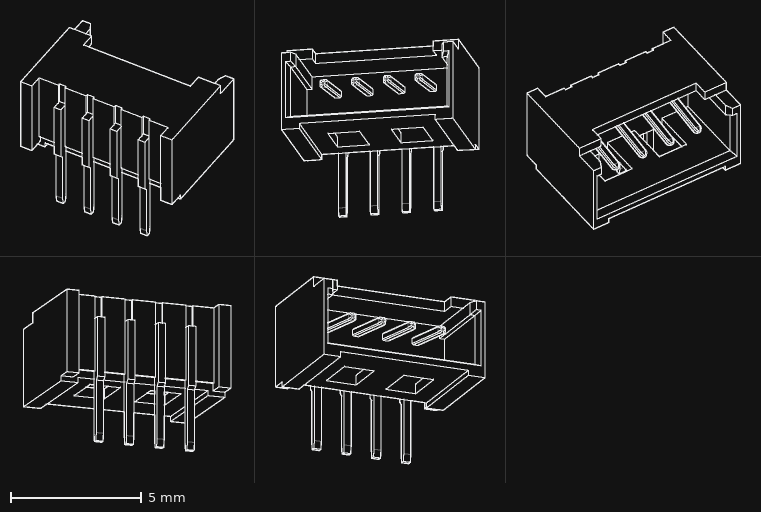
import cadquery as cq
import math


width = 6.75
depth = 4.7
height = 3.495
foot_height = 0.2
foot_width = 0.7
base_z = foot_height

side_wall = 0.5
top_wall = 0.4
floor_wall = 0.4
rear_wall = 0.8
floor_z = base_z + floor_wall
ceiling_z = height - top_wall

rear_recess = 0.555
rear_step_recess = 0.65
rear_step_height = 0.305
cavity_back = rear_step_recess + rear_wall
inner_width = width - 2 * side_wall

mouth_setback = 1.0
mouth_drop = 0.4
notch_width = 4.76
notch_depth = 1.605
lead_in_length = 0.3
lead_in_depth = 0.135
keyway_depth = 0.2
keyway_top = height - 0.9

pin_count = 4
pitch = 1.25
pin_width = 0.3
pin_bottom = -2.3
pin_top = height - 0.9
pin_back = rear_step_recess
upper_leg_front = 0.25
lower_leg_front = 0.38
shoulder_top = base_z + 0.02
leg_tip_length = 0.305
leg_tip_inset = 0.05
arm_width = pin_width
arm_end = depth - 0.59
arm_slope = 8.0
arm_edge_chamfer = 0.05
arm_corner_width = (arm_width - arm_edge_chamfer) * math.sqrt(2)
arm_end_radius = 0.14
arm_corner_end_radius = 0.175

window_width = pitch
window_offset = (pin_count - 2) / 2 * pitch
window_front = depth - 1.505

pin_positions = [(i - (pin_count - 1) / 2) * pitch for i in range(pin_count)]


def block(x_size, y_range, z_range):
    """Box centred on X, spanning the given Y and Z ranges."""
    y0, y1 = y_range
    z0, z1 = z_range
    box = cq.Workplane("XY").box(x_size, y1 - y0, z1 - z0, centered=(True, False, False))
    return box.translate((0, y0, z0))


def mouth_opening(x_size, z_range):
    """Straight cavity with a lead-in that widens on every side towards the mouth."""
    z0, z1 = z_range
    straight = block(x_size, (cavity_back, depth), z_range)
    lead_in = (
        cq.Workplane("XZ", origin=(0, depth - lead_in_length, (z0 + z1) / 2))
        .rect(x_size, z1 - z0)
        .workplane(offset=-lead_in_length)
        .rect(x_size + 2 * lead_in_depth, z1 - z0 + 2 * lead_in_depth)
        .loft(ruled=True)
    )
    return straight.union(lead_in)


def make_housing():
    body = block(width, (0, depth), (base_z, height))

    feet = block(width, (rear_step_recess, depth), (0, base_z))
    feet = feet.cut(block(width - 2 * foot_width, (0, depth), (0, base_z)))
    body = body.union(feet)

    body = body.cut(block(inner_width, (0, rear_recess), (0, height)))
    step_top = base_z + rear_step_height
    body = body.cut(block(inner_width, (0, rear_step_recess), (base_z, step_top)))
    groove = block(pin_width, (0, rear_step_recess), (base_z, height))
    for x in pin_positions:
        body = body.cut(groove.translate((x, 0, 0)))

    body = body.cut(mouth_opening(inner_width, (floor_z, ceiling_z)))
    body = body.cut(mouth_opening(inner_width + 2 * keyway_depth, (floor_z, keyway_top)))

    body = body.cut(block(width, (depth - mouth_setback, depth), (height - mouth_drop, height)))
    body = body.cut(block(notch_width, (depth - notch_depth, depth), (ceiling_z, height)))
    window = block(window_width, (cavity_back, window_front), (base_z, floor_z))
    for x in (-window_offset, window_offset):
        body = body.cut(window.translate((x, 0, 0)))
    return body


def make_leg():
    """Vertical leg: thick beside the housing, thinner and tapered below it."""
    shoulder_bottom = shoulder_top - (lower_leg_front - upper_leg_front)
    profile = [
        (upper_leg_front, pin_top),
        (upper_leg_front, shoulder_top),
        (lower_leg_front, shoulder_bottom),
        (lower_leg_front, pin_bottom + leg_tip_length),
        (lower_leg_front + leg_tip_inset, pin_bottom),
        (pin_back - leg_tip_inset, pin_bottom),
        (pin_back, pin_bottom + leg_tip_length),
        (pin_back, pin_top),
    ]
    return cq.Workplane("YZ").polyline(profile).close().extrude(pin_width / 2, both=True)


def make_arm():
    """Contact arm sloping down into the cavity, eight-sided with a domed tip."""
    length = (arm_end - pin_back) / math.cos(math.radians(arm_slope))
    bar = block(arm_width, (0, length), (-arm_width / 2, arm_width / 2))
    rounded_bar = bar.edges("|X and >Y").fillet(arm_end_radius)
    corner_bar = block(arm_corner_width, (0, length), (-arm_corner_width / 2, arm_corner_width / 2))
    rounded_corner_bar = corner_bar.edges("|X and >Y").fillet(arm_corner_end_radius)

    arm = rounded_bar
    for solid, angle in ((rounded_corner_bar, 45), (rounded_bar, 90), (rounded_corner_bar, 135)):
        arm = arm.intersect(solid.rotate((0, 0, 0), (0, 1, 0), angle))

    arm = arm.translate((0, 0, -arm_width / 2))
    return arm.rotate((0, 0, 0), (1, 0, 0), -arm_slope).translate((0, pin_back, pin_top))


result = make_housing()
pin = make_leg().union(make_arm())
for x in pin_positions:
    result = result.union(pin.translate((x, 0, 0)))